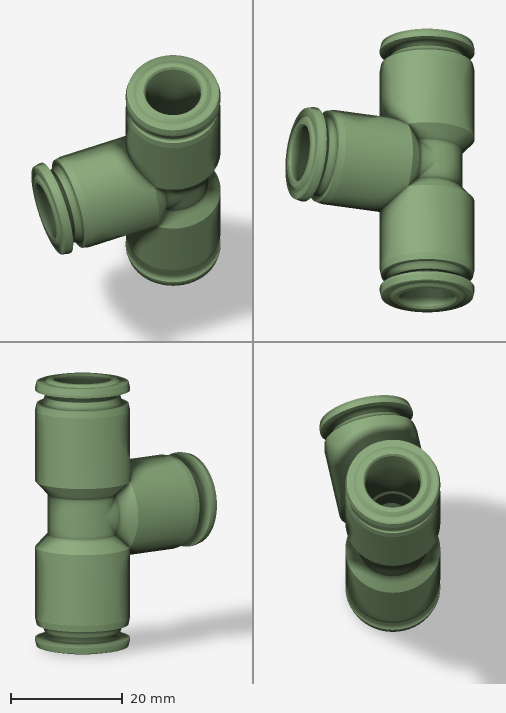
import cadquery as cq
import math

run_reach = 24.5
branch_reach = 24.5

body_radius = 8.5
core_radius = 6.3
core_half_length = 3.6
body_start = 6.0

nose_base_depth = 5.65
nose_step_depth = 4.45
nose_end_depth = 3.15
nose_rim_radius = 8.25
nose_base_radius = 7.3
nose_end_radius = 6.8

neck_radius = 6.0
neck_fillet = 0.5
flange_back_depth = 2.0
flange_land_depth = 1.55
flange_shoulder_depth = 0.5
flange_shoulder_radius = 8.25
flange_face_depth = 0.4
flange_face_radius = 8.0
lip_base_radius = 6.8
lip_radius = 6.1

bore_radius = 4.5
mouth_radius = 5.0
mouth_chamfer_width = 0.28
mouth_chamfer_depth = 0.4
mouth_depth = 16.0


def arm_solid(reach):
    """Solid arm along +Z, from the junction centre to the collar lip."""
    flange_back = reach - flange_back_depth
    fillet_inset = neck_fillet * (1 - math.sqrt(0.5))
    body_outline = [
        (0, 0),
        (core_radius, 0),
        (core_radius, core_half_length),
        (body_radius, body_start),
        (body_radius, reach - nose_base_depth),
        (nose_rim_radius, reach - nose_step_depth),
        (nose_base_radius, reach - nose_step_depth),
        (nose_end_radius, reach - nose_end_depth),
        (neck_radius, reach - nose_end_depth),
        (neck_radius, flange_back - neck_fillet),
    ]
    fillet_middle = (neck_radius + fillet_inset, flange_back - fillet_inset)
    fillet_end = (neck_radius + neck_fillet, flange_back)
    collar_outline = [
        (body_radius, flange_back),
        (body_radius, reach - flange_land_depth),
        (flange_shoulder_radius, reach - flange_shoulder_depth),
        (flange_face_radius, reach - flange_face_depth),
        (lip_base_radius, reach - flange_face_depth),
        (lip_radius, reach),
        (0, reach),
    ]
    profile = (
        cq.Workplane("XZ")
        .polyline(body_outline)
        .threePointArc(fillet_middle, fillet_end)
        .polyline(collar_outline, includeCurrent=True)
        .close()
    )
    return profile.revolve(360, (0, 0), (0, 1))


def arm_bore(reach):
    """Bore of an arm along +Z, with a wider chamfered mouth."""
    profile = [
        (0, 0),
        (bore_radius, 0),
        (bore_radius, reach - mouth_depth),
        (mouth_radius, reach - mouth_depth),
        (mouth_radius, reach - mouth_chamfer_depth),
        (mouth_radius + mouth_chamfer_width, reach),
        (0, reach),
    ]
    return cq.Workplane("XZ").polyline(profile).close().revolve(360, (0, 0), (0, 1))


def tee(make_arm):
    """Join an up arm, a down arm and a -Y branch made by the given function."""
    joined = make_arm(run_reach)
    for angle, reach in ((180, run_reach), (90, branch_reach)):
        arm = make_arm(reach).rotate((0, 0, 0), (1, 0, 0), angle)
        joined = joined.union(arm)
    return joined


result = tee(arm_solid).cut(tee(arm_bore))